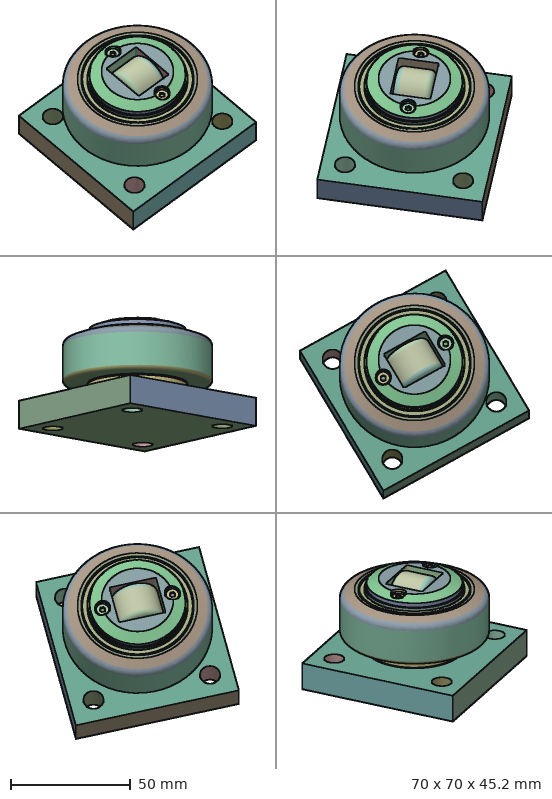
import cadquery as cq
import math

plate_side = 70.0
plate_thickness = 12.0
hole_spacing = 50.0
hole_diameter = 8.38

neck_radius = 21.0
neck_end_radius = 20.75
neck_bevel_height = 0.5
neck_top = 18.5

roller_radius = 31.25
roller_bottom = 18.65
roller_height = 20.0
roller_top = roller_bottom + roller_height
roller_face_radius = 25.0
roller_top_fillet = 3.0
roller_bottom_fillet = 1.5
cone_angle = math.radians(20.0)

outer_groove_radii = (23.0, 23.5)
inner_groove_radii = (20.75, 21.0)
groove_depth = 0.5

overall_height = 45.15
side_roller_protrusion = 1.5
cap_top = overall_height - side_roller_protrusion
cap_face_radius = 15.0
cap_radius = 20.0
cap_bottom = 39.9
cap_cone_bottom = cap_top - (cap_radius - cap_face_radius) * math.tan(cone_angle)
collar_radius = 20.75

pocket_length = 20.0
pocket_width = 17.0
pocket_depth = 12.0
pocket_corner_radius = 0.7
side_roller_radius = 10.1
side_roller_width = 16.0
side_roller_fillet = 2.5
side_roller_axis_height = overall_height - side_roller_radius

screw_offset = 15.0
recess_radius = 3.25
recess_floor_radius = 5.35 / 2
recess_depth = 1.8
recess_taper_height = recess_radius - recess_floor_radius
hex_corner_diameter = 2.5
hex_depth = 1.0


def cylinder(radius, bottom, top):
    return cq.Workplane("XY").workplane(offset=bottom).circle(radius).extrude(top - bottom)


def ring(radii, bottom, top):
    inner, outer = radii
    return cylinder(outer, bottom, top).cut(cylinder(inner, bottom, top))


def flange_plate():
    plate = cq.Workplane("XY").box(plate_side, plate_side, plate_thickness, centered=(True, True, False))
    return (
        plate.faces(">Z").workplane()
        .rect(hole_spacing, hole_spacing, forConstruction=True)
        .vertices()
        .hole(hole_diameter)
    )


def neck():
    """Beveled neck, carried up to the underside of the main roller."""
    profile = [
        (0, plate_thickness),
        (neck_end_radius, plate_thickness),
        (neck_radius, plate_thickness + neck_bevel_height),
        (neck_radius, neck_top - neck_bevel_height),
        (neck_end_radius, neck_top),
        (neck_end_radius, roller_bottom),
        (0, roller_bottom),
    ]
    return cq.Workplane("XZ").polyline(profile).close().revolve(360, (0, 0), (0, 1))


def main_roller():
    """Roller with a conical shoulder blended into its rim and two face grooves."""
    shoulder_height = roller_top - (roller_radius - roller_face_radius) * math.tan(cone_angle)
    profile = [
        (0, roller_bottom),
        (roller_radius, roller_bottom),
        (roller_radius, shoulder_height),
        (roller_face_radius, roller_top),
        (0, roller_top),
    ]
    body = cq.Workplane("XZ").polyline(profile).close().revolve(360, (0, 0), (0, 1))
    rim_center = (0, 0, shoulder_height)
    body = body.edges(cq.selectors.NearestToPointSelector(rim_center)).fillet(roller_top_fillet)
    body = body.faces("<Z").edges().fillet(roller_bottom_fillet)
    for radii in (outer_groove_radii, inner_groove_radii):
        body = body.cut(ring(radii, roller_top - groove_depth, roller_top))
    return body


def cap():
    """Collar, narrower cylinder and cone, stacked on the main roller."""
    profile = [
        (0, roller_top),
        (collar_radius, roller_top),
        (collar_radius, cap_bottom),
        (cap_radius, cap_bottom),
        (cap_radius, cap_cone_bottom),
        (cap_face_radius, cap_top),
        (0, cap_top),
    ]
    return cq.Workplane("XZ").polyline(profile).close().revolve(360, (0, 0), (0, 1))


def pocket():
    """Rectangular pocket reaching below the axis of the side roller."""
    return (
        cq.Workplane("XY").workplane(offset=cap_top - pocket_depth)
        .rect(pocket_length, pocket_width)
        .extrude(pocket_depth)
        .edges("|Z").fillet(pocket_corner_radius)
    )


def side_roller():
    return (
        cq.Workplane("XZ", origin=(0, side_roller_width / 2, side_roller_axis_height))
        .circle(side_roller_radius)
        .extrude(side_roller_width)
        .edges().fillet(side_roller_fillet)
    )


def screw_recess(x):
    """Round recess tapering inward at its floor, with a hexagonal socket in its floor."""
    floor = cap_top - recess_depth
    recess = (
        cq.Workplane("XY", origin=(x, 0, floor))
        .circle(recess_floor_radius)
        .workplane(offset=recess_taper_height)
        .circle(recess_radius)
        .loft(ruled=True)
        .faces(">Z").workplane()
        .circle(recess_radius)
        .extrude(recess_depth - recess_taper_height)
    )
    socket = (
        cq.Workplane("XY", origin=(x, 0, floor - hex_depth))
        .polygon(6, hex_corner_diameter)
        .extrude(hex_depth)
    )
    return recess.union(socket)


result = flange_plate().union(neck()).union(main_roller()).union(cap())
result = result.cut(pocket()).union(side_roller())
for side in (-1, 1):
    result = result.cut(screw_recess(side * screw_offset))